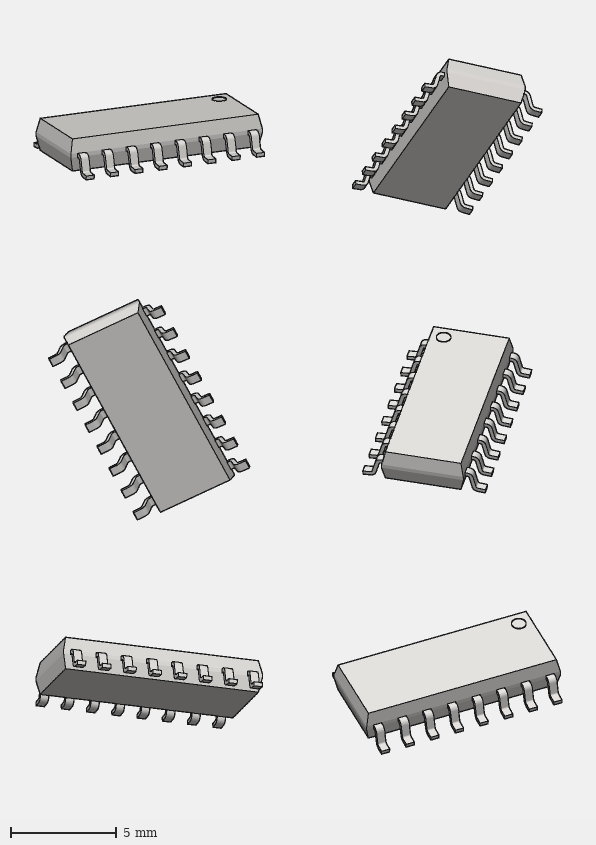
import math

import cadquery as cq

body_width = 4.0
body_length = 10.0
body_bottom = 0.15
body_top = 1.75
band_height = 0.2
side_inset = 0.15

marker_diameter = 0.7
marker_depth = 0.04
marker_x = -1.2
marker_y = 4.2

leads_per_side = 8
lead_pitch = 1.27
lead_width = 0.42
lead_thickness = band_height
lead_span = 6.0
shoulder_length = 0.11
bend_inner_radius = 0.1
leg_angle = math.radians(75)
foot_angle = math.radians(4)
lead_embed = 0.5

band_middle = (body_bottom + body_top) / 2
half_height = (body_top - body_bottom - band_height) / 2


def make_body_half(direction):
    """Tapered half above (direction 1) or below (direction -1) the band."""
    return (
        cq.Workplane("XY")
        .workplane(offset=band_middle + direction * band_height / 2)
        .rect(body_width, body_length)
        .workplane(offset=direction * half_height)
        .rect(body_width - 2 * side_inset, body_length - 2 * side_inset)
        .loft(ruled=True)
    )


def make_body():
    band = cq.Workplane("XY").box(body_width, body_length, band_height)
    band = band.translate((0, 0, band_middle))
    return band.union(make_body_half(1)).union(make_body_half(-1))


def make_marker_recess():
    return (
        cq.Workplane("XY")
        .workplane(offset=body_top - marker_depth)
        .center(marker_x, marker_y)
        .circle(marker_diameter / 2)
        .extrude(marker_depth)
    )


def make_lead():
    """Lead on the -X side, centred on Y = 0, swept along its centre line."""
    bend_radius = bend_inner_radius + lead_thickness / 2
    half_thickness = lead_thickness / 2

    toe_x = -lead_span / 2 + half_thickness * math.sin(foot_angle)
    toe_z = half_thickness * math.cos(foot_angle)

    start_x = -body_width / 2 + lead_embed
    shoulder_x = -body_width / 2 - shoulder_length
    leg_top_x = shoulder_x - bend_radius * math.sin(leg_angle)
    leg_top_z = band_middle - bend_radius * (1 - math.cos(leg_angle))

    bend_run = bend_radius * (math.sin(leg_angle) - math.sin(foot_angle))
    bend_drop = bend_radius * (math.cos(foot_angle) - math.cos(leg_angle))

    run = leg_top_x - bend_run - toe_x
    drop = leg_top_z - bend_drop - toe_z
    leg_length = (drop - run * math.tan(foot_angle)) / (
        math.sin(leg_angle) - math.cos(leg_angle) * math.tan(foot_angle)
    )
    leg_bottom_x = leg_top_x - leg_length * math.cos(leg_angle)
    leg_bottom_z = leg_top_z - leg_length * math.sin(leg_angle)

    centre_line = (
        cq.Workplane("XZ")
        .moveTo(start_x, band_middle)
        .lineTo(shoulder_x, band_middle)
        .tangentArcPoint((leg_top_x, leg_top_z), relative=False)
        .lineTo(leg_bottom_x, leg_bottom_z)
        .tangentArcPoint((leg_bottom_x - bend_run, leg_bottom_z - bend_drop), relative=False)
        .lineTo(toe_x, toe_z)
    )
    return (
        cq.Workplane("YZ", origin=(start_x, 0, band_middle))
        .rect(lead_width, lead_thickness)
        .sweep(centre_line)
    )


result = make_body().cut(make_marker_recess())

left_lead = make_lead()
right_lead = left_lead.mirror("YZ")
first_lead_y = -lead_pitch * (leads_per_side - 1) / 2
for index in range(leads_per_side):
    lead_y = first_lead_y + index * lead_pitch
    for lead in (left_lead, right_lead):
        result = result.union(lead.translate((0, lead_y, 0)))